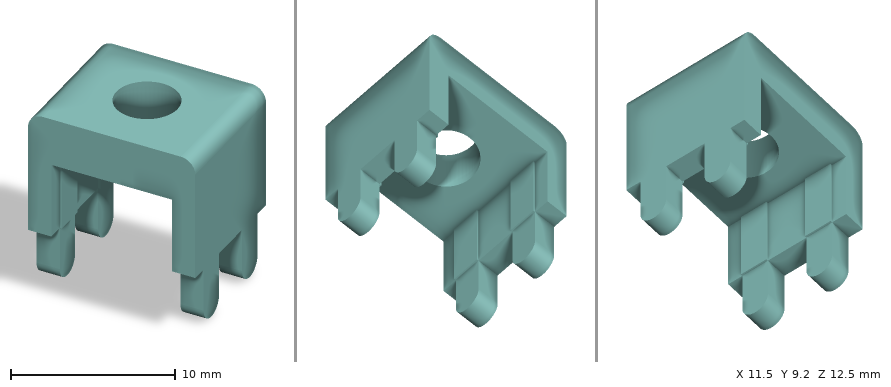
import cadquery as cq

length_x = 11.5
width_y = 9.2
height = 12.5

bridge_thickness = 3.3
wall_thickness = 1.6
corner_radius = 1.0
hole_diameter = 4.2

pin_width = 2.0
pin_length = 4.0
pin_spacing = 5.0

pad_thickness = 0.15

wall_bottom = pin_length
bridge_bottom = height - bridge_thickness
wall_center_x = (length_x - wall_thickness) / 2
wall_inner_x = length_x / 2 - wall_thickness


def box_between(x_min, x_max, y_center, y_size, z_min, z_max):
    """Box with its X and Z limits given, centred on y_center."""
    return (
        cq.Workplane("XY")
        .box(x_max - x_min, y_size, z_max - z_min, centered=(False, True, False))
        .translate((x_min, y_center, z_min))
    )


def make_bracket():
    """Rounded bridge with side walls and a vertical through hole."""
    block = box_between(-length_x / 2, length_x / 2, 0, width_y, wall_bottom, height)
    block = block.edges("|Y and >Z").fillet(corner_radius)
    opening = box_between(-wall_inner_x, wall_inner_x, 0, width_y, wall_bottom, bridge_bottom)
    hole = cq.Workplane("XY").circle(hole_diameter / 2).extrude(height)
    return block.cut(opening).cut(hole)


def make_pin(x_center, y_center):
    """Flat pin as thick as the wall, ending in a full round."""
    radius = pin_width / 2
    return (
        cq.Workplane("YZ")
        .moveTo(-radius, wall_bottom)
        .lineTo(-radius, radius)
        .threePointArc((0, 0), (radius, radius))
        .lineTo(radius, wall_bottom)
        .close()
        .extrude(wall_thickness / 2, both=True)
        .translate((x_center, y_center, 0))
    )


def make_pad(side, y_center):
    """Raised strip on the inner face of one wall, above a pin."""
    x_limits = sorted((side * wall_inner_x, side * (wall_inner_x - pad_thickness)))
    return box_between(*x_limits, y_center, pin_width, wall_bottom, bridge_bottom)


result = make_bracket()
for side in (-1, 1):
    for y_center in (-pin_spacing / 2, pin_spacing / 2):
        result = result.union(make_pin(side * wall_center_x, y_center))
        result = result.union(make_pad(side, y_center))